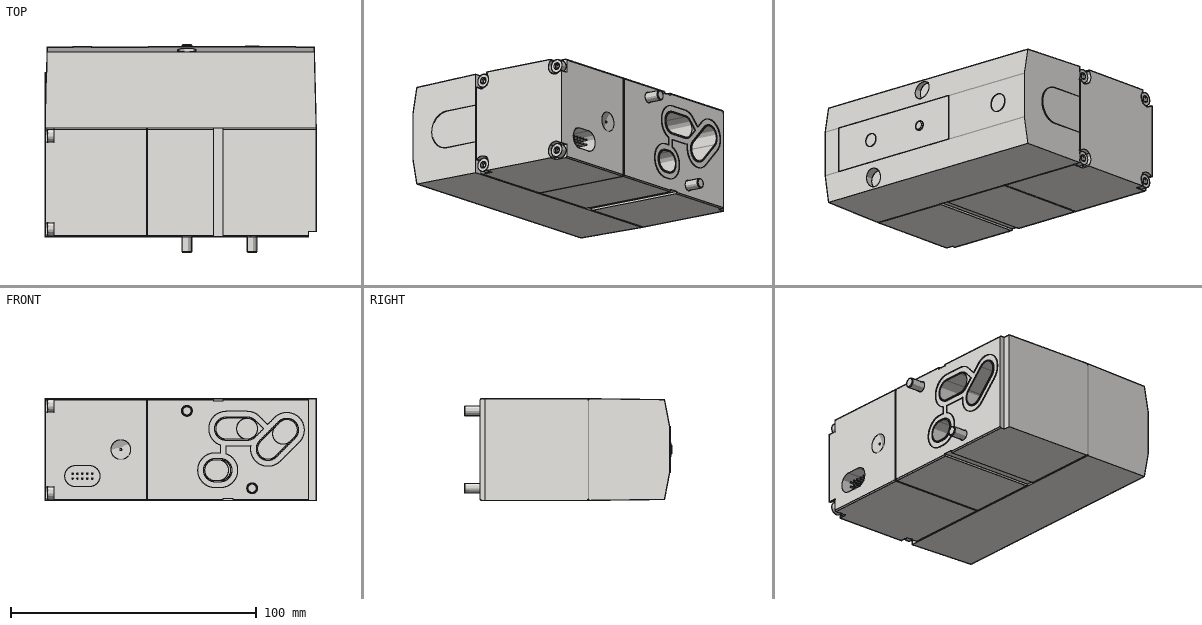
import cadquery as cq
import math

LENGTH = 110.4
HEIGHT = 41.5
OVERALL_DEPTH = 84.58
HALF_HEIGHT = HEIGHT / 2
ROOT_OVERLAP = 1.0

BASE_DEPTH = 44.3
BASE_CHAMFER = 0.5
PARTING_WIDTH = 0.4
PARTING_DEPTH = 0.2
END_STEP_LENGTH = 3.1
END_STEP_DEPTH = 2.2
SEAM_X = 41.5
SEAM_WIDTH = 0.35
SEAM_DEPTH = 0.5
CHANNEL_WIDTH = 4.0
CHANNEL_DEPTH = 0.9
TOP_CHANNEL_X = 70.5
BOTTOM_CHANNEL_X = TOP_CHANNEL_X + CHANNEL_WIDTH

COVER_EDGE_Y = 75.2
COVER_TOP_Y = 77.3
COVER_FLAT_HALF = 9.4
COVER_END_DRAFT = 0.8
COVER_SIDE_DRAFT = 0.4
TAB_RADIUS = 7.7
TAB_APEX_Y = 66.9
TAB_THICKNESS = 1.0

PANEL_START_X = 42.0
PANEL_END_X = 102.0
PANEL_HEIGHT = 0.25
BUTTON_X = 15.1
BUTTON_DIAMETER = 7.5
NUB_DIAMETER = 4.0
NUB_CHAMFER = 0.4
BOSS_DIAMETER = 5.5
BOSS_HEIGHT = 0.5

STUD_POSITIONS = [(57.7, 15.75), (84.25, -15.75)]
STUD_DIAMETER = 4.0
STUD_LENGTH = 6.3
STUD_CHAMFER = 0.3
STUD_CLEARANCE_DIAMETER = 4.4
STUD_CLEARANCE_DEPTH = 3.0
STUD_RECESS_DIAMETER = 7.5
STUD_RECESS_FLOOR_Y = 73.0

SCREW_Y = (3.2, 41.1)
SCREW_Z = 17.7
SCREW_POCKET_DIAMETER = 7.0
SCREW_NOTCH_OFFSET = 2.5
SCREW_POCKET_DEPTH = 3.6
SCREW_HEAD_DIAMETER = 5.5
SCREW_HEAD_RECESS = 1.0
SOCKET_DIAMETER = 2.0
SOCKET_DEPTH = 1.5
SOCKET_CHAMFER = 0.4

PORT_RADIUS = 8.5 / 2
PORT_DEPTH = 12.0
PORT_HOLE_DEPTH = 20.0
UPPER_PORT = ((73.7, 8.5), (82.2, 8.5))
SLANTED_PORT = ((90.7, 0.3), (98.4, 8.0))
LOWER_PORT = ((69.2, -8.4), (71.3, -8.4))
PORTS = [UPPER_PORT, SLANTED_PORT, LOWER_PORT]
SLANTED_HOLE_LENGTH = 2.2
LOWER_HOLE_LENGTH = 1.2

SEAL_INNER_RADIUS = 4.75
SEAL_OUTER_RADIUS = 7.1
SEAL_DEPTH = 0.3
SEAL_LINK_WIDTH = 2.3
SEAL_LINK_RIGHT_X = 73.7

CONNECTOR_X = 15.15
CONNECTOR_Z = -10.8
CONNECTOR_LENGTH = 14.4
CONNECTOR_WIDTH = 8.5
CONNECTOR_DEPTH = 11.0
PIN_PITCH = 2.0
PIN_COLUMNS = 5
PIN_ROWS = 2
PIN_DIAMETER = 0.6
PIN_TIP_Y = 2.0

DISH_X = 30.8
DISH_Z = 0.0
DISH_RADIUS = 4.0
DISH_DEPTH = 0.8
VENT_DIAMETER = 0.8
VENT_DEPTH = 4.0


def section(y):
    """Workplane parallel to the mounting face at depth y, drawn in X and Z."""
    return cq.Workplane("XZ", origin=(0, y, 0))


def block(x_start, x_end, y_start, y_end, z_start, z_end):
    size = (x_end - x_start, y_end - y_start, z_end - z_start)
    return cq.Workplane("XY").box(*size, centered=False).translate((x_start, y_start, z_start))


def cylinder_y(centre, diameter, y_start, y_end):
    return section(y_start).center(*centre).circle(diameter / 2).extrude(y_start - y_end)


def cylinder_x(y, z, diameter, x_start, x_end):
    plane = cq.Workplane("YZ", origin=(x_start, y, z))
    return plane.circle(diameter / 2).extrude(x_end - x_start)


def slot_y(ends, radius, y_start, y_end):
    """Round-ended slot between two (X, Z) centres."""
    (x_a, z_a), (x_b, z_b) = ends
    spacing = math.hypot(x_b - x_a, z_b - z_a)
    angle = math.degrees(math.atan2(z_b - z_a, x_b - x_a))
    plane = section(y_start).center((x_a + x_b) / 2, (z_a + z_b) / 2)
    return plane.slot2D(spacing + 2 * radius, 2 * radius, angle).extrude(y_start - y_end)


def make_base():
    base = block(0, LENGTH, 0, BASE_DEPTH, -HALF_HEIGHT, HALF_HEIGHT)
    base = base.edges("|X").chamfer(BASE_CHAMFER)
    step_start = LENGTH - END_STEP_LENGTH
    base = base.cut(block(step_start, LENGTH, 0, END_STEP_DEPTH, -HALF_HEIGHT, HALF_HEIGHT))
    parting = block(0, PARTING_DEPTH, BASE_DEPTH - PARTING_WIDTH, BASE_DEPTH, -HALF_HEIGHT, HALF_HEIGHT)
    return base.cut(parting).cut(make_seam()).cut(make_channels())


def make_seam():
    """Narrow groove around the front, top and bottom of the base."""
    start = SEAM_X - SEAM_WIDTH / 2
    end = SEAM_X + SEAM_WIDTH / 2
    core_half = HALF_HEIGHT - SEAM_DEPTH
    ring = block(start, end, 0, BASE_DEPTH, -HALF_HEIGHT, HALF_HEIGHT)
    return ring.cut(block(start, end, SEAM_DEPTH, BASE_DEPTH, -core_half, core_half))


def make_channels():
    half_width = CHANNEL_WIDTH / 2
    floor = HALF_HEIGHT - CHANNEL_DEPTH
    top = block(TOP_CHANNEL_X - half_width, TOP_CHANNEL_X + half_width,
                0, BASE_DEPTH, floor, HALF_HEIGHT)
    bottom = block(BOTTOM_CHANNEL_X - half_width, BOTTOM_CHANNEL_X + half_width,
                   0, BASE_DEPTH, -HALF_HEIGHT, -floor)
    return top.union(bottom)


def make_cover():
    """Crowned cross-section trimmed by the drafted ends, plus the flush tab on the left end."""
    edge_half = HALF_HEIGHT - COVER_SIDE_DRAFT
    crown = (
        cq.Workplane("YZ")
        .moveTo(BASE_DEPTH, -HALF_HEIGHT)
        .lineTo(COVER_EDGE_Y, -edge_half)
        .lineTo(COVER_TOP_Y, -COVER_FLAT_HALF)
        .lineTo(COVER_TOP_Y, COVER_FLAT_HALF)
        .lineTo(COVER_EDGE_Y, edge_half)
        .lineTo(BASE_DEPTH, HALF_HEIGHT)
        .close()
        .extrude(LENGTH)
    )
    plan = (
        cq.Workplane("XY", origin=(0, 0, -HALF_HEIGHT))
        .moveTo(0, BASE_DEPTH)
        .lineTo(LENGTH, BASE_DEPTH)
        .lineTo(LENGTH - COVER_END_DRAFT, COVER_TOP_Y)
        .lineTo(COVER_END_DRAFT, COVER_TOP_Y)
        .close()
        .extrude(HEIGHT)
    )
    arc_centre_y = TAB_APEX_Y - TAB_RADIUS
    tab = (
        cq.Workplane("YZ")
        .moveTo(BASE_DEPTH, -TAB_RADIUS)
        .lineTo(arc_centre_y, -TAB_RADIUS)
        .threePointArc((TAB_APEX_Y, 0), (arc_centre_y, TAB_RADIUS))
        .lineTo(BASE_DEPTH, TAB_RADIUS)
        .close()
        .extrude(TAB_THICKNESS)
    )
    return crown.intersect(plan).union(tab)


def make_cover_details():
    panel_top = COVER_TOP_Y + PANEL_HEIGHT
    panel = block(PANEL_START_X, PANEL_END_X, COVER_EDGE_Y, panel_top, -COVER_FLAT_HALF, COVER_FLAT_HALF)
    button = cylinder_y((BUTTON_X, 0), BUTTON_DIAMETER, COVER_EDGE_Y, panel_top)
    nub_x = STUD_POSITIONS[0][0]
    boss_x = STUD_POSITIONS[1][0]
    nub_top = OVERALL_DEPTH - STUD_LENGTH
    nub = cylinder_y((nub_x, 0), NUB_DIAMETER, COVER_EDGE_Y, nub_top).faces(">Y").chamfer(NUB_CHAMFER)
    boss = cylinder_y((boss_x, 0), BOSS_DIAMETER, COVER_EDGE_Y, COVER_TOP_Y + BOSS_HEIGHT)
    return panel.union(button).union(nub).union(boss)


def add_studs(body):
    for position in STUD_POSITIONS:
        clearance = cylinder_y(position, STUD_CLEARANCE_DIAMETER, 0, STUD_CLEARANCE_DEPTH)
        recess = cylinder_y(position, STUD_RECESS_DIAMETER, STUD_RECESS_FLOOR_Y, OVERALL_DEPTH)
        stud = cylinder_y(position, STUD_DIAMETER, -STUD_LENGTH, STUD_CLEARANCE_DEPTH + ROOT_OVERLAP)
        stud = stud.faces("<Y").chamfer(STUD_CHAMFER)
        body = body.cut(clearance).cut(recess).union(stud)
    return body


def make_screw(y, z):
    head = cylinder_x(y, z, SCREW_HEAD_DIAMETER, SCREW_HEAD_RECESS, SCREW_POCKET_DEPTH + ROOT_OVERLAP)
    socket_floor = SCREW_HEAD_RECESS + SOCKET_DEPTH
    head = head.cut(cylinder_x(y, z, SOCKET_DIAMETER, SCREW_HEAD_RECESS, socket_floor))
    rim = cq.selectors.RadiusNthSelector(0)
    return head.faces("<X").edges(rim).chamfer(SOCKET_CHAMFER)


def make_screw_pocket(y, z):
    """Round pocket with a square notch that opens it through the nearest corner of the base."""
    y_side = math.copysign(1, y - BASE_DEPTH / 2)
    z_side = math.copysign(1, z)
    y_inner = y - y_side * SCREW_NOTCH_OFFSET
    z_inner = z - z_side * SCREW_NOTCH_OFFSET
    y_outer = BASE_DEPTH if y_side > 0 else 0
    z_outer = z_side * HALF_HEIGHT
    notch = block(0, SCREW_POCKET_DEPTH,
                  min(y_inner, y_outer), max(y_inner, y_outer),
                  min(z_inner, z_outer), max(z_inner, z_outer))
    base_zone = block(0, LENGTH, 0, BASE_DEPTH, -HALF_HEIGHT, HALF_HEIGHT)
    pocket = cylinder_x(y, z, SCREW_POCKET_DIAMETER, 0, SCREW_POCKET_DEPTH)
    return pocket.intersect(base_zone).union(notch)


def add_corner_screws(body):
    for y in SCREW_Y:
        for z in (-SCREW_Z, SCREW_Z):
            body = body.cut(make_screw_pocket(y, z)).union(make_screw(y, z))
    return body


def make_ports():
    """Slots open at the mounting face, each with a shorter hole continuing from its floor."""
    slanted_shift = SLANTED_HOLE_LENGTH / math.sqrt(2)
    slanted_x, slanted_z = SLANTED_PORT[1]
    slanted_hole = ((slanted_x - slanted_shift, slanted_z - slanted_shift), SLANTED_PORT[1])
    lower_x, lower_z = LOWER_PORT[0]
    lower_hole = (LOWER_PORT[0], (lower_x + LOWER_HOLE_LENGTH, lower_z))
    cuts = cylinder_y(UPPER_PORT[1], 2 * PORT_RADIUS, PORT_DEPTH, PORT_HOLE_DEPTH)
    for hole in (slanted_hole, lower_hole):
        cuts = cuts.union(slot_y(hole, PORT_RADIUS, PORT_DEPTH, PORT_HOLE_DEPTH))
    for port in PORTS:
        cuts = cuts.union(slot_y(port, PORT_RADIUS, 0, PORT_DEPTH))
    return cuts


def seal_outline(radius):
    """All port slots offset to one radius; the upper one ends in a square nose pointing to +X."""
    outline = slot_y(UPPER_PORT, radius, 0, SEAL_DEPTH)
    for port in (SLANTED_PORT, LOWER_PORT):
        outline = outline.union(slot_y(port, radius, 0, SEAL_DEPTH))
    tip = radius * math.sqrt(2)
    nose = (
        section(0)
        .center(*UPPER_PORT[1])
        .polyline([(0, 0), (tip / 2, tip / 2), (tip, 0), (tip / 2, -tip / 2)])
        .close()
        .extrude(-SEAL_DEPTH)
    )
    return outline.union(nose)


def make_seal_groove():
    link = block(SEAL_LINK_RIGHT_X - SEAL_LINK_WIDTH, SEAL_LINK_RIGHT_X,
                 0, SEAL_DEPTH, LOWER_PORT[0][1], UPPER_PORT[0][1])
    return seal_outline(SEAL_OUTER_RADIUS).union(link).cut(seal_outline(SEAL_INNER_RADIUS))


def add_connector(body):
    plane = section(0).center(CONNECTOR_X, CONNECTOR_Z)
    pocket = plane.slot2D(CONNECTOR_LENGTH, CONNECTOR_WIDTH).extrude(-CONNECTOR_DEPTH)
    pins = (
        section(PIN_TIP_Y)
        .center(CONNECTOR_X, CONNECTOR_Z)
        .rarray(PIN_PITCH, PIN_PITCH, PIN_COLUMNS, PIN_ROWS)
        .circle(PIN_DIAMETER / 2)
        .extrude(PIN_TIP_Y - CONNECTOR_DEPTH - ROOT_OVERLAP)
    )
    return body.cut(pocket).union(pins)


def make_dish():
    sphere_radius = (DISH_RADIUS ** 2 + DISH_DEPTH ** 2) / (2 * DISH_DEPTH)
    sphere_centre = (DISH_X, DISH_DEPTH - sphere_radius, DISH_Z)
    dish = cq.Workplane("XY").sphere(sphere_radius).translate(sphere_centre)
    return dish.union(cylinder_y((DISH_X, DISH_Z), VENT_DIAMETER, 0, VENT_DEPTH))


body = make_base().union(make_cover()).union(make_cover_details())
body = body.cut(make_seal_groove()).cut(make_ports()).cut(make_dish())
body = add_connector(body)
body = add_corner_screws(body)
result = add_studs(body)